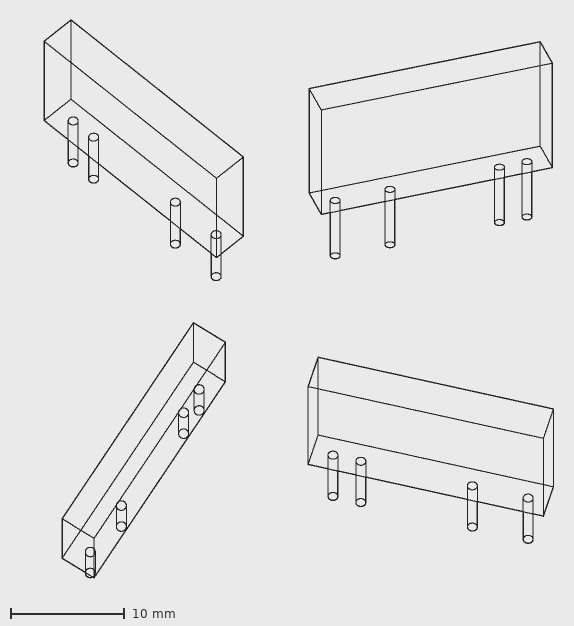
import cadquery as cq

housing_length = 21.45
housing_depth = 3.35
total_height = 17.53
pin_length = 6.07
housing_height = total_height - pin_length

pin_diameter = 0.88
pin_span = 17.8
first_pin_offset = 1.85
pin_row_offset = 1.78
pin_slots = (0, 1, 5, 7)
pin_pitch = pin_span / pin_slots[-1]


def make_housing():
    """Plain block with its bottom face at Z = 0."""
    return cq.Workplane("XY").box(
        housing_length, housing_depth, housing_height, centered=(True, True, False)
    )


def make_pin(slot):
    """Round pin hanging from the bottom face of the housing."""
    pin_x = -housing_length / 2 + first_pin_offset + slot * pin_pitch
    pin_y = -housing_depth / 2 + pin_row_offset
    return cq.Workplane("XY").center(pin_x, pin_y).circle(pin_diameter / 2).extrude(-pin_length)


housing = make_housing()
pins = []
for slot in pin_slots:
    pins.append(make_pin(slot).val())

result = cq.Compound.makeCompound([housing.val(), *pins])